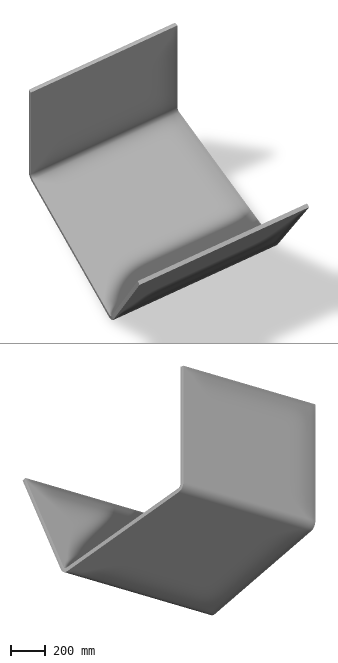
import math
import cadquery as cq

thickness = 25.0
inner_radius = 26.0
outer_radius = inner_radius + thickness
total_height = 991.99
flange_height = 675
wall_bend_height = 274.0
floor_run = 940.2
flange_lean = 26.9
wall_width = 984.0
flange_width = 1142.3
plan_rotation = 6.625


def polar(center, radius, angle):
    """Point at a radius and an angle (degrees from the profile's horizontal) around a center."""
    a = math.radians(angle)
    return (center[0] + radius * math.cos(a), center[1] + radius * math.sin(a))


wall_bend = (outer_radius, wall_bend_height)
flange_bend_height = outer_radius
floor_drop = wall_bend_height - flange_bend_height
floor_angle = math.degrees(math.atan2(floor_drop, floor_run))
flange_bend = (wall_bend[0] + floor_run, flange_bend_height)

wall_side = 180.0
floor_side = 270.0 - floor_angle
flange_side = 360.0 - flange_lean


def flange_tip(radius):
    """Free corner of the flange on the face that is tangent to the bend at this radius."""
    inner_start = polar(flange_bend, inner_radius, flange_side)
    length = (flange_height - inner_start[1]) / math.cos(math.radians(flange_lean))
    return polar(polar(flange_bend, radius, flange_side), length, 90.0 - flange_lean)


def bent_profile():
    """Cross-section of the plate: upright wall, sloping floor and leaning flange."""
    wall_mid = (wall_side + floor_side) / 2
    flange_mid = (floor_side + flange_side) / 2
    return (
        cq.Workplane("XZ")
        .moveTo(0, total_height)
        .lineTo(*polar(wall_bend, outer_radius, wall_side))
        .threePointArc(
            polar(wall_bend, outer_radius, wall_mid), polar(wall_bend, outer_radius, floor_side)
        )
        .lineTo(*polar(flange_bend, outer_radius, floor_side))
        .threePointArc(
            polar(flange_bend, outer_radius, flange_mid), polar(flange_bend, outer_radius, flange_side)
        )
        .lineTo(*flange_tip(outer_radius))
        .lineTo(*flange_tip(inner_radius))
        .lineTo(*polar(flange_bend, inner_radius, flange_side))
        .threePointArc(
            polar(flange_bend, inner_radius, flange_mid), polar(flange_bend, inner_radius, floor_side)
        )
        .lineTo(*polar(wall_bend, inner_radius, floor_side))
        .threePointArc(
            polar(wall_bend, inner_radius, wall_mid), polar(wall_bend, inner_radius, wall_side)
        )
        .lineTo(thickness, total_height)
        .close()
    )


def plan_outline():
    """Plan of the plate: it widens evenly from the wall to the flange tip."""
    reach = flange_tip(outer_radius)[0]
    return cq.Workplane("XY").polyline(
        [
            (0, -wall_width / 2),
            (reach, -flange_width / 2),
            (reach, flange_width / 2),
            (0, wall_width / 2),
        ]
    ).close()


bent_plate = bent_profile().extrude(flange_width / 2, both=True)
trimmed_plate = bent_plate.intersect(plan_outline().extrude(total_height))
result = trimmed_plate.rotate((0, 0, 0), (0, 0, 1), plan_rotation)